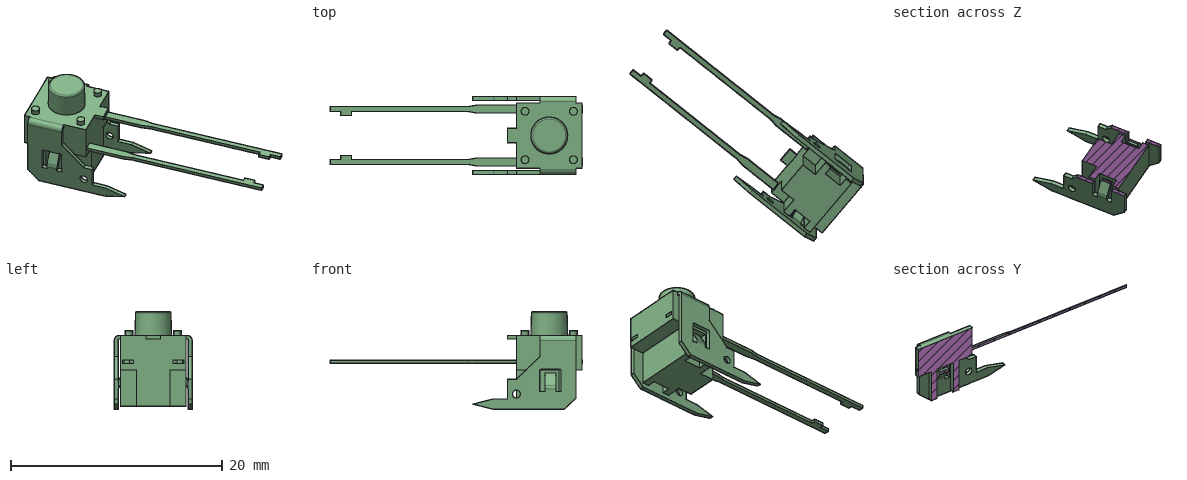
import cadquery as cq
import math


HOUSING_SIDE = 6.2
HOUSING_HEIGHT = 6.73
UPPER_HEIGHT = 3.3
CORNER_STEP = 1.5
POCKET_WIDTH = 1.81
POCKET_DEPTH = 0.84

TAB_LENGTH = 0.85
TAB_WIDTH = 1.38
BOSS_DIAMETER = 0.75
BOSS_HEIGHT = 0.45
BOSS_OFFSET = 2.3

TERMINAL_START = -20.73
TERMINAL_END = 3.13
TERMINAL_Y = 2.5
TERMINAL_Z = -2.5
TERMINAL_THICKNESS = 0.3
TERMINAL_WIDTH = 0.79
TERMINAL_NARROW_WIDTH = 0.5
TAPER_START = -7.64
TAPER_END = -6.85
LUG_START = -19.75
LUG_END = -18.7
LUG_INNER_Y = 1.88

SHEET = 0.4
FLANGE_THICKNESS = 0.35
BRACKET_OUTER_Y = 3.7
BEND_RADIUS = 0.5
BRACKET_BOTTOM = -7.01
STRIP_LEFT = -0.88
STRIP_RIGHT = 2.55
STRIP_BOTTOM = -2.0
EAR_LEFT = -3.95
EAR_TOP = -4.15
SPIKE_TOP = -6.01
SPIKE_SHOULDER_X = -5.3
SPIKE_TIP_X = -7.25
CHAMFER_X = 1.15
CHAMFER_Z = 1.07
HOLE_DIAMETER = 0.75
HOLE_Z = -5.55

WINDOW_CENTER_X = 0.12
WINDOW_WIDTH = 2.0
WINDOW_TOP = -3.17
WINDOW_BOTTOM = -5.3
WINDOW_CORNER_RADIUS = 0.2
LATCH_WIDTH = 1.0
LATCH_TOP = -3.58
LATCH_BEND_START = -5.08
LATCH_BEND_RADIUS = 0.62
LATCH_ANGLE = 32.0

BUTTON_DIAMETER = 3.5
BUTTON_TOP_DIAMETER = 3.4
BUTTON_HEIGHT = 2.25
BUTTON_FILLET = 0.15


def box(x0, x1, y0, y1, z0, z1):
    """Box between two opposite corners."""
    return cq.Workplane("XY").box(x1 - x0, y1 - y0, z1 - z0, centered=False).translate((x0, y0, z0))


def mirrored_pair(shape):
    """The shape together with its mirror image across the XZ plane."""
    return shape.union(shape.mirror("XZ"))


def make_block():
    """Housing block: full-size top, lower part notched at its corners and pocketed at its sides."""
    half = HOUSING_SIDE / 2
    upper = box(-half, half, -half, half, -UPPER_HEIGHT, 0)
    stepped = half - CORNER_STEP
    core = box(-half, stepped, -stepped, stepped, -HOUSING_HEIGHT, -UPPER_HEIGHT)
    cross = box(-stepped, stepped, -half, half, -HOUSING_HEIGHT, -UPPER_HEIGHT)
    pocket_half = POCKET_WIDTH / 2
    pocket_floor = POCKET_DEPTH - half
    pocket = box(-pocket_half, pocket_half, -half, pocket_floor, -HOUSING_HEIGHT, -UPPER_HEIGHT)
    return upper.union(core).union(cross).cut(mirrored_pair(pocket))


def make_tab():
    edge = -HOUSING_SIDE / 2
    return box(edge - TAB_LENGTH, edge, -TAB_WIDTH / 2, TAB_WIDTH / 2, -FLANGE_THICKNESS, 0)


def make_bosses():
    return (
        cq.Workplane("XY")
        .rect(2 * BOSS_OFFSET, 2 * BOSS_OFFSET, forConstruction=True)
        .vertices()
        .circle(BOSS_DIAMETER / 2)
        .extrude(BOSS_HEIGHT)
    )


def make_terminal():
    """Terminal on the -Y side."""
    wide = TERMINAL_WIDTH / 2
    narrow = TERMINAL_NARROW_WIDTH / 2
    bottom = TERMINAL_Z - TERMINAL_THICKNESS / 2
    lug_reach = TERMINAL_Y - LUG_INNER_Y
    outline = [
        (TERMINAL_START, -narrow),
        (TAPER_START, -narrow),
        (TAPER_END, -wide),
        (TERMINAL_END, -wide),
        (TERMINAL_END, wide),
        (TAPER_END, wide),
        (TAPER_START, narrow),
        (LUG_END, narrow),
        (LUG_END, lug_reach),
        (LUG_START, lug_reach),
        (LUG_START, narrow),
        (TERMINAL_START, narrow),
    ]
    strip = cq.Workplane("XY").polyline(outline).close().extrude(TERMINAL_THICKNESS)
    return strip.translate((0, -TERMINAL_Y, bottom))


def make_bracket_plate():
    """Upright sheet of the -Y bracket, with its hole and window, below the bend."""
    ear_root = -HOUSING_SIDE / 2
    spike_tip_z = (SPIKE_TOP + BRACKET_BOTTOM) / 2
    outline = [
        (STRIP_LEFT, -BEND_RADIUS),
        (STRIP_LEFT, STRIP_BOTTOM),
        (ear_root, EAR_TOP),
        (EAR_LEFT, EAR_TOP),
        (EAR_LEFT, SPIKE_TOP),
        (SPIKE_SHOULDER_X, SPIKE_TOP),
        (SPIKE_TIP_X, spike_tip_z),
        (SPIKE_SHOULDER_X, BRACKET_BOTTOM),
        (STRIP_RIGHT - CHAMFER_X, BRACKET_BOTTOM),
        (STRIP_RIGHT, BRACKET_BOTTOM + CHAMFER_Z),
        (STRIP_RIGHT, -BEND_RADIUS),
    ]
    outer_face = cq.Workplane("XZ", origin=(0, -BRACKET_OUTER_Y, 0))
    plate = outer_face.polyline(outline).close().extrude(-SHEET)
    hole = outer_face.center(ear_root, HOLE_Z).circle(HOLE_DIAMETER / 2).extrude(-SHEET)
    window = (
        box(
            WINDOW_CENTER_X - WINDOW_WIDTH / 2,
            WINDOW_CENTER_X + WINDOW_WIDTH / 2,
            -BRACKET_OUTER_Y,
            SHEET - BRACKET_OUTER_Y,
            WINDOW_BOTTOM,
            WINDOW_TOP,
        )
        .edges("|Y and >Z")
        .fillet(WINDOW_CORNER_RADIUS)
    )
    return plate.cut(hole).cut(window)


def make_bracket_bend():
    """Rounded corner and short flange that carry the -Y bracket from the housing's top edge."""
    bend_y = BEND_RADIUS - BRACKET_OUTER_Y
    inner_y = SHEET - BRACKET_OUTER_Y
    housing_y = -HOUSING_SIDE / 2
    diagonal = BEND_RADIUS * math.sqrt(0.5)
    return (
        cq.Workplane("YZ", origin=(STRIP_LEFT, 0, 0))
        .moveTo(-BRACKET_OUTER_Y, -BEND_RADIUS)
        .threePointArc((bend_y - diagonal, diagonal - BEND_RADIUS), (bend_y, 0))
        .lineTo(housing_y, 0)
        .lineTo(housing_y, -FLANGE_THICKNESS)
        .lineTo(inner_y, -FLANGE_THICKNESS)
        .lineTo(inner_y, -BEND_RADIUS)
        .close()
        .extrude(STRIP_RIGHT - STRIP_LEFT)
    )


def make_latch():
    """Latch of the -Y bracket: rises from the window's lower edge and leans inward."""
    lean = math.radians(LATCH_ANGLE)
    inner_radius = LATCH_BEND_RADIUS - SHEET
    center_y = LATCH_BEND_RADIUS - BRACKET_OUTER_Y

    def on_bend(radius, angle):
        return (center_y - radius * math.cos(angle), LATCH_BEND_START + radius * math.sin(angle))

    outer_y, outer_z = on_bend(LATCH_BEND_RADIUS, lean)
    inner_y, inner_z = on_bend(inner_radius, lean)
    rise = LATCH_TOP - outer_z
    run = rise * math.tan(lean)
    return (
        cq.Workplane("YZ", origin=(WINDOW_CENTER_X - LATCH_WIDTH / 2, 0, 0))
        .moveTo(-BRACKET_OUTER_Y, WINDOW_BOTTOM)
        .lineTo(-BRACKET_OUTER_Y, LATCH_BEND_START)
        .threePointArc(on_bend(LATCH_BEND_RADIUS, lean / 2), (outer_y, outer_z))
        .lineTo(outer_y + run, outer_z + rise)
        .lineTo(inner_y + run, inner_z + rise)
        .lineTo(inner_y, inner_z)
        .threePointArc(on_bend(inner_radius, lean / 2), on_bend(inner_radius, 0))
        .lineTo(SHEET - BRACKET_OUTER_Y, WINDOW_BOTTOM)
        .close()
        .extrude(LATCH_WIDTH)
    )


def make_housing():
    """Housing with its terminals, top tab, bosses and side brackets in one piece."""
    bracket = make_bracket_plate().union(make_bracket_bend()).union(make_latch())
    return (
        make_block()
        .union(make_tab())
        .union(make_bosses())
        .union(mirrored_pair(make_terminal()))
        .union(mirrored_pair(bracket))
        .clean()
    )


def make_button():
    """Slightly tapered button standing on the housing's top face."""
    taper = math.degrees(math.atan((BUTTON_DIAMETER - BUTTON_TOP_DIAMETER) / 2 / BUTTON_HEIGHT))
    return (
        cq.Workplane("XY")
        .circle(BUTTON_DIAMETER / 2)
        .extrude(BUTTON_HEIGHT, taper=taper)
        .faces(">Z")
        .edges()
        .fillet(BUTTON_FILLET)
    )


housing = make_housing()
button = make_button()
result = cq.Compound.makeCompound([housing.solids().val(), button.solids().val()])